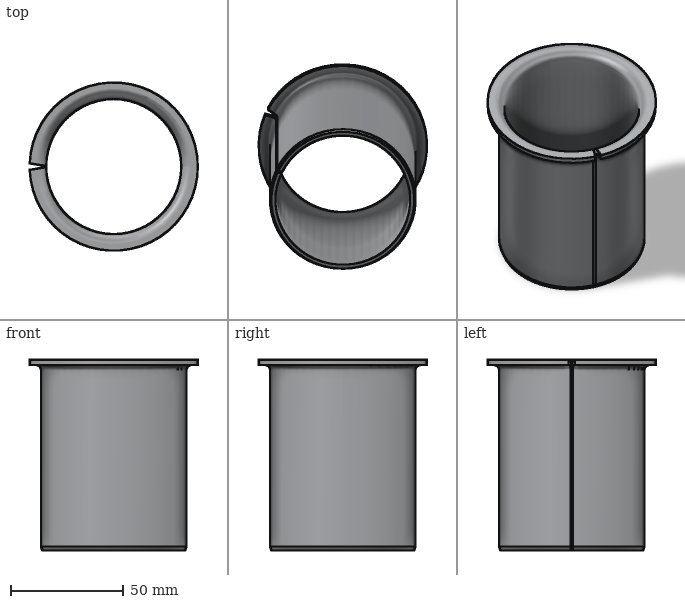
import cadquery as cq

height = 85.0
flange_radius = 37.5
outer_radius = 32.5
wall = 2.5
outer_bend_radius = 2.0
chamfer_height = 1.9
chamfer_width = 0.7
bore_gap = 0.3
rim_gap = 2.8

inner_radius = outer_radius - wall
inner_bend_radius = outer_bend_radius + wall
bend_centre_radius = outer_radius + outer_bend_radius
flange_bottom = height - wall
bend_bottom = flange_bottom - outer_bend_radius


def bush_body():
    """Revolve the wall section, with its bend, flange and lower lead-in chamfer."""
    diagonal = 0.5 ** 0.5
    outer_bend_middle = (
        bend_centre_radius - outer_bend_radius * diagonal,
        bend_bottom + outer_bend_radius * diagonal,
    )
    inner_bend_middle = (
        bend_centre_radius - inner_bend_radius * diagonal,
        bend_bottom + inner_bend_radius * diagonal,
    )
    section = (
        cq.Workplane("XZ")
        .moveTo(inner_radius, 0)
        .lineTo(outer_radius - chamfer_width, 0)
        .lineTo(outer_radius, chamfer_height)
        .lineTo(outer_radius, bend_bottom)
        .threePointArc(outer_bend_middle, (bend_centre_radius, flange_bottom))
        .lineTo(flange_radius, flange_bottom)
        .lineTo(flange_radius, height)
        .lineTo(bend_centre_radius, height)
        .threePointArc(inner_bend_middle, (inner_radius, bend_bottom))
        .close()
    )
    return section.revolve(360, (0, 0, 0), (0, 1, 0))


def tapered_slit():
    """Full-height slit on the -X side, widening from the bore to the flange rim."""
    return (
        cq.Workplane("XY")
        .moveTo(-inner_radius, bore_gap / 2)
        .lineTo(-flange_radius, rim_gap / 2)
        .lineTo(-flange_radius, -rim_gap / 2)
        .lineTo(-inner_radius, -bore_gap / 2)
        .close()
        .extrude(height)
    )


result = bush_body().cut(tapered_slit())